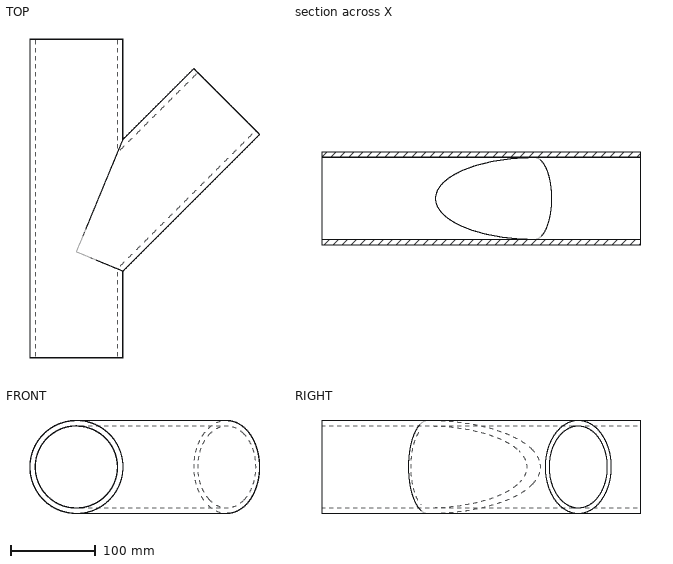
import cadquery as cq
import math

outer_diameter = 110.0
wall = 6.6
bore_diameter = outer_diameter - 2 * wall

inlet_length = 125.0
outlet_length = 251.0
branch_length = 251.0
branch_angle = 45.0

branch_lean = math.radians(branch_angle)
run_direction = (0, 1, 0)
branch_direction = (math.sin(branch_lean), math.cos(branch_lean), 0)


def rod(diameter, start, direction, length):
    """Solid cylinder starting at a point and running along a direction."""
    return cq.Workplane("XY").add(
        cq.Solid.makeCylinder(diameter / 2, length, cq.Vector(*start), cq.Vector(*direction))
    )


def wye(diameter):
    """Straight run joined by the slanted branch, which starts where the axes cross."""
    run = rod(diameter, (0, -inlet_length, 0), run_direction, inlet_length + outlet_length)
    branch = rod(diameter, (0, 0, 0), branch_direction, branch_length)
    return run.union(branch)


result = wye(outer_diameter).cut(wye(bore_diameter))